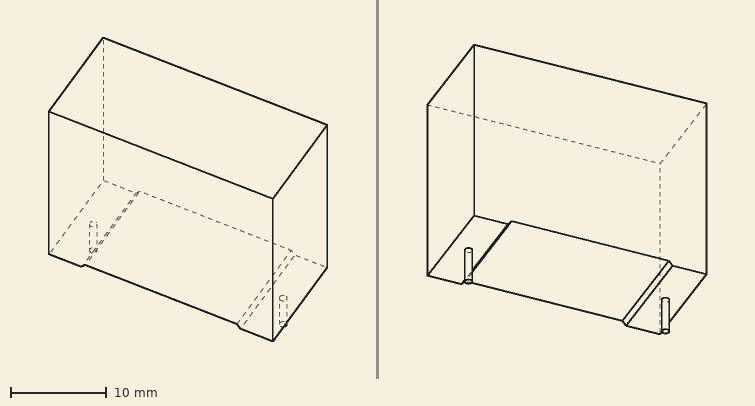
import cadquery as cq


body_length = 26.5
body_depth = 12.0
total_height = 25.7

lead_diameter = 0.8
lead_spacing = 22.45
lead_length = 4.0
body_height = total_height - lead_length

relief_height = 0.5
relief_top_width = 17.91
relief_bottom_width = 18.75


def make_body():
    """Box outline with the sloped-ended relief, extruded through the depth."""
    outline = [
        (-body_length / 2, body_height),
        (-body_length / 2, 0),
        (-relief_bottom_width / 2, 0),
        (-relief_top_width / 2, relief_height),
        (relief_top_width / 2, relief_height),
        (relief_bottom_width / 2, 0),
        (body_length / 2, 0),
        (body_length / 2, body_height),
    ]
    return cq.Workplane("XZ").polyline(outline).close().extrude(body_depth / 2, both=True)


def make_leads():
    """Two round wires hanging from the feet."""
    return (
        cq.Workplane("XY")
        .pushPoints([(-lead_spacing / 2, 0), (lead_spacing / 2, 0)])
        .circle(lead_diameter / 2)
        .extrude(-lead_length)
    )


result = make_body().union(make_leads())